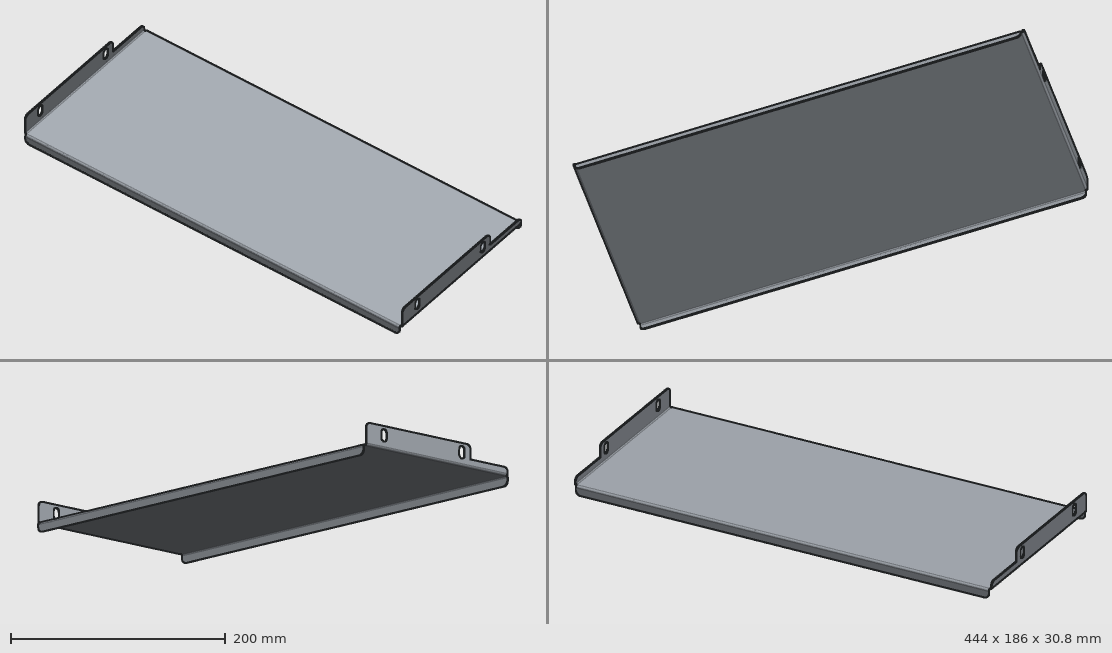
import cadquery as cq
import math

length = 444.0
width = 186.0
thickness = 1.2
inner_bend_radius = 1.0
outer_bend_radius = inner_bend_radius + thickness

lip_height = 10.0
bracket_height = 22.0
lip_bottom = thickness - lip_height

end_inset = outer_bend_radius
lip_length = length - 2 * end_inset
bracket_length = width - 2 * end_inset
bracket_end = bracket_length / 2
lip_corner_radius = 5.0

step_y = 43.0
step_height = 8.0
bracket_corner_radius = 5.0

slot_width = 7.0
slot_height = 12.0
slot_count = 2
slot_spacing = 100.0
rear_slot_y = 32.0
slot_center_depth = 9.0
slot_center_z = bracket_height - slot_center_depth


def folded_profile(plane, half_span, direction):
    """U-shaped sheet section; direction +1 folds both ends up, -1 folds both down."""
    outer_z = 0 if direction > 0 else thickness
    inner_z = thickness - outer_z
    tip_z = bracket_height if direction > 0 else lip_bottom
    inner_half = half_span - thickness
    bend_half = half_span - outer_bend_radius
    bend_z = outer_z + direction * outer_bend_radius
    diagonal = math.sqrt(0.5)

    def bend_middle(side, radius):
        return side * (bend_half + radius * diagonal), bend_z - direction * radius * diagonal

    return (
        cq.Workplane(plane)
        .moveTo(-half_span, tip_z)
        .lineTo(-half_span, bend_z)
        .threePointArc(bend_middle(-1, outer_bend_radius), (-bend_half, outer_z))
        .lineTo(bend_half, outer_z)
        .threePointArc(bend_middle(1, outer_bend_radius), (half_span, bend_z))
        .lineTo(half_span, tip_z)
        .lineTo(inner_half, tip_z)
        .lineTo(inner_half, bend_z)
        .threePointArc(bend_middle(1, inner_bend_radius), (bend_half, inner_z))
        .lineTo(-bend_half, inner_z)
        .threePointArc(bend_middle(-1, inner_bend_radius), (-inner_half, bend_z))
        .lineTo(-inner_half, tip_z)
        .close()
    )


def panel_with_lips():
    """Panel with both long edges folded down and the lower lip corners rounded."""
    body = folded_profile("YZ", width / 2, -1).extrude(lip_length / 2, both=True)
    lip_outline = (
        cq.Workplane("XZ")
        .rect(lip_length, 2 * lip_height)
        .extrude(width, both=True)
        .edges("|Y")
        .fillet(lip_corner_radius)
        .translate((0, 0, lip_bottom + lip_height))
    )
    return body.intersect(lip_outline)


def bracket_outline():
    """Stepped side outline of the brackets, extruded across the full length."""
    return (
        cq.Workplane("YZ")
        .moveTo(-bracket_end, 0)
        .lineTo(bracket_end, 0)
        .lineTo(bracket_end, step_height - bracket_corner_radius)
        .radiusArc((bracket_end - bracket_corner_radius, step_height), -bracket_corner_radius)
        .lineTo(step_y, step_height)
        .lineTo(step_y, bracket_height - bracket_corner_radius)
        .radiusArc((step_y - bracket_corner_radius, bracket_height), -bracket_corner_radius)
        .lineTo(-bracket_end + bracket_corner_radius, bracket_height)
        .radiusArc((-bracket_end, bracket_height - bracket_corner_radius), -bracket_corner_radius)
        .close()
        .extrude(length, both=True)
    )


def mounting_slots():
    """Slots passing through both brackets."""
    centers = [(rear_slot_y - index * slot_spacing, slot_center_z) for index in range(slot_count)]
    return (
        cq.Workplane("YZ")
        .pushPoints(centers)
        .slot2D(slot_height, slot_width, 90)
        .extrude(length, both=True)
    )


def panel_with_brackets():
    """Panel with both short edges folded up into stepped, slotted brackets."""
    body = folded_profile("XZ", length / 2, 1).extrude(bracket_length / 2, both=True)
    return body.intersect(bracket_outline()).cut(mounting_slots())


result = panel_with_lips().union(panel_with_brackets())